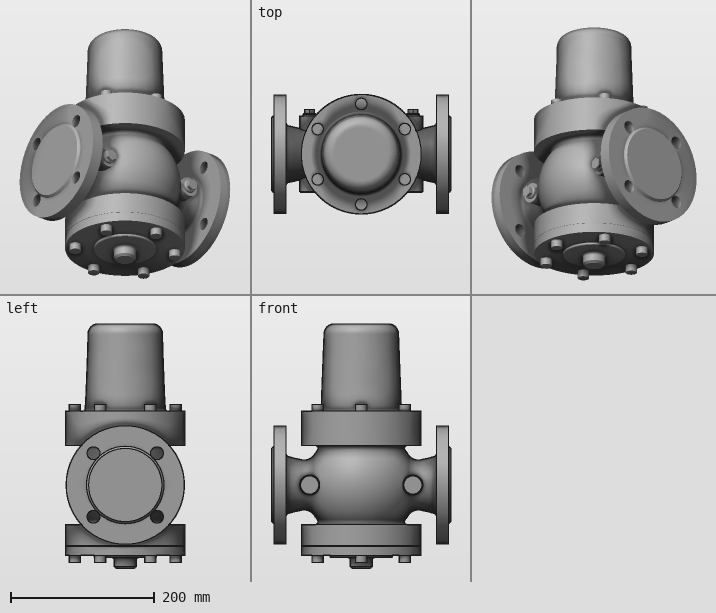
import cadquery as cq
import math


body_radius = 78.0

body_flange_radius = 83.5
body_flange_inner_z = 55.0
upper_flange_top_z = 103.0
cover_joint_z = -85.0
cover_bottom_z = -98.0
joint_groove_width = 1.0
joint_groove_depth = 0.5
body_flange_fillet = 4.0

bonnet_base_radius = 56.1
bonnet_shoulder_radius = 52.0
bonnet_flat_radius = 37.0
bonnet_shoulder_z = 210.8
bonnet_top_z = 224.5
bonnet_foot_fillet = 3.6

bolt_count = 6
bolt_start_angle = 90.0
bolt_circle_radius = 70.0
bolt_head_radius = 8.0
upper_bolt_height = 9.3
lower_bolt_height = 10.0

pad_radius = 43.5
pad_thickness = 3.2
pad_chamfer = 1.0
plug_radius = 15.4
plug_bottom_z = -116.4
plug_chamfer = 3.0
plug_fillet = 3.2

half_length = 125.0
raised_face_height = 3.3
raised_face_radius = 51.0
raised_face_base_radius = 54.0
pipe_flange_radius = 82.5
pipe_flange_thickness = 17.0
pipe_fillet = 5.0
cone_outer_radius = 40.3
neck_radius = 35.0
neck_start_x = 81.5
neck_end_x = 78.7
pipe_hole_radius = 9.0
pipe_hole_circle_radius = 62.5
pipe_hole_count = 4
pipe_hole_start_angle = 45.0

pick_margin = 0.5

boss_x = 71.8
boss_radius = 14.0
boss_half_length = 53.0
boss_chamfer = 1.3

collar_radius = 9.3
collar_height = 4.0
collar_chamfer = 1.5
hex_sides = 6
hex_width = 14.0
hex_top_y = 62.5


def disc(radius, z_from, z_to):
    """Cylinder about Z between two heights."""
    return cq.Workplane("XY").workplane(offset=z_from).circle(radius).extrude(z_to - z_from)


def circle_picker(radius, z):
    """Selector for edges at height z that lie within a radius of the valve axis."""
    reach = radius + pick_margin
    low = (-reach, -reach, z - pick_margin)
    high = (reach, reach, z + pick_margin)
    return cq.selectors.BoxSelector(low, high, boundingbox=True)


def make_body():
    """Ball body, trimmed by and filleted into the two body flanges."""
    inside = disc(body_flange_radius, -body_flange_inner_z, body_flange_inner_z)
    ball = cq.Workplane("XY").sphere(body_radius).intersect(inside)
    upper = disc(body_flange_radius, body_flange_inner_z, upper_flange_top_z)
    lower = disc(body_flange_radius, cover_bottom_z, -body_flange_inner_z)
    body = ball.union(upper).union(lower)
    neck_edge_radius = math.sqrt(body_radius**2 - body_flange_inner_z**2)
    for z in (-body_flange_inner_z, body_flange_inner_z):
        body = body.edges(circle_picker(neck_edge_radius, z)).fillet(body_flange_fillet)
    return body


def make_joint_groove():
    """Fine groove where the cover meets the lower flange."""
    bottom = cover_joint_z - joint_groove_width / 2
    top = cover_joint_z + joint_groove_width / 2
    core = disc(body_flange_radius - joint_groove_depth, bottom, top)
    return disc(body_flange_radius, bottom, top).cut(core)


def make_bonnet():
    """Tapered cap with a rounded crown."""
    crown_drop = bonnet_top_z - bonnet_shoulder_z
    crown_width = bonnet_shoulder_radius - bonnet_flat_radius
    crown_mid = (
        bonnet_flat_radius + crown_width * math.sqrt(0.5),
        bonnet_shoulder_z + crown_drop * math.sqrt(0.5),
    )
    profile = (
        cq.Workplane("XZ")
        .moveTo(0, upper_flange_top_z)
        .lineTo(bonnet_base_radius, upper_flange_top_z)
        .lineTo(bonnet_shoulder_radius, bonnet_shoulder_z)
        .threePointArc(crown_mid, (bonnet_flat_radius, bonnet_top_z))
        .lineTo(0, bonnet_top_z)
        .close()
    )
    return profile.revolve(360, (0, 0, 0), (0, 1, 0))


def make_bolts(z_from, height):
    """Ring of round bolt heads; a negative height points down."""
    return (
        cq.Workplane("XY")
        .workplane(offset=z_from)
        .polarArray(bolt_circle_radius, bolt_start_angle, 360, bolt_count)
        .circle(bolt_head_radius)
        .extrude(height)
    )


def make_bottom_plug():
    """Thin pad with a plug blended into it."""
    pad_bottom_z = cover_bottom_z - pad_thickness
    pad = disc(pad_radius, pad_bottom_z, cover_bottom_z).faces("<Z").edges().chamfer(pad_chamfer)
    plug = disc(plug_radius, plug_bottom_z, pad_bottom_z)
    plug = plug.faces("<Z").edges().chamfer(plug_chamfer)
    root = circle_picker(plug_radius, pad_bottom_z)
    return pad.union(plug).edges(root).fillet(plug_fillet)


def make_pipe_end():
    """Pipe neck and bolted flange on the +X side, turned about X and blended into the ball."""
    flange_front_x = half_length - raised_face_height
    flange_back_x = flange_front_x - pipe_flange_thickness

    blend_radius = (neck_end_x**2 + neck_radius**2 - body_radius**2) / (2 * (body_radius - neck_radius))
    blend_center_r = neck_radius + blend_radius
    blend_angle = math.atan2(blend_center_r, neck_end_x)
    ball_contact = (body_radius * math.cos(blend_angle), body_radius * math.sin(blend_angle))
    arc_start_angle = -math.pi / 2
    arc_end_angle = blend_angle - math.pi
    mid_angle = (arc_start_angle + arc_end_angle) / 2
    blend_mid = (
        neck_end_x + blend_radius * math.cos(mid_angle),
        blend_center_r + blend_radius * math.sin(mid_angle),
    )
    profile = (
        cq.Workplane("XY")
        .lineTo(half_length, 0)
        .lineTo(half_length, raised_face_radius)
        .lineTo(flange_front_x, raised_face_base_radius)
        .lineTo(flange_front_x, pipe_flange_radius)
        .lineTo(flange_back_x, pipe_flange_radius)
        .lineTo(flange_back_x, cone_outer_radius)
        .lineTo(neck_start_x, neck_radius)
        .lineTo(neck_end_x, neck_radius)
        .threePointArc(blend_mid, ball_contact)
        .close()
    )
    pipe = profile.revolve(360, (0, 0, 0), (1, 0, 0))
    reach = cone_outer_radius + pick_margin
    corner = cq.selectors.BoxSelector(
        (flange_back_x - pick_margin, -reach, -reach),
        (flange_back_x + pick_margin, reach, reach),
        boundingbox=True,
    )
    pipe = pipe.edges(corner).fillet(pipe_fillet)
    holes = (
        cq.Workplane("YZ")
        .workplane(offset=flange_back_x)
        .polarArray(pipe_hole_circle_radius, pipe_hole_start_angle, 360, pipe_hole_count)
        .circle(pipe_hole_radius)
        .extrude(pipe_flange_thickness)
    )
    return pipe.cut(holes)


def make_gauge_boss():
    """Cross boss beside the +X neck with a hexagon plug on its +Y end."""
    boss = (
        cq.Workplane("XZ", origin=(boss_x, boss_half_length, 0))
        .circle(boss_radius)
        .extrude(2 * boss_half_length)
        .faces("<Y")
        .edges()
        .chamfer(boss_chamfer)
    )
    collar = (
        cq.Workplane("XZ", origin=(boss_x, boss_half_length, 0))
        .circle(collar_radius)
        .extrude(-collar_height)
        .faces(">Y")
        .edges()
        .chamfer(collar_chamfer)
    )
    hexagon = (
        cq.Workplane("XZ", origin=(boss_x, boss_half_length, 0))
        .transformed(rotate=(0, 0, 90))
        .polygon(hex_sides, hex_width / math.cos(math.pi / hex_sides))
        .extrude(boss_half_length - hex_top_y)
    )
    return boss.union(collar).union(hexagon)


result = make_body().cut(make_joint_groove()).union(make_bonnet())
result = result.edges(circle_picker(bonnet_base_radius, upper_flange_top_z)).fillet(bonnet_foot_fillet)
result = result.union(make_bottom_plug())
result = result.union(make_bolts(upper_flange_top_z, upper_bolt_height))
result = result.union(make_bolts(cover_bottom_z, -lower_bolt_height))
side = make_pipe_end().union(make_gauge_boss())
result = result.union(side).union(side.mirror("YZ"))